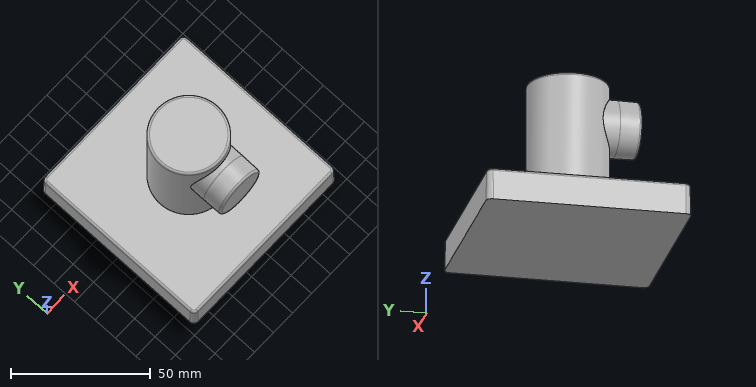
import cadquery as cq
import math

plate_size = 75.0
plate_height = 12.0
plate_top_inset = 0.3
plate_corner_radius = 2.25
plate_edge_radius = 1.0

total_height = 60.0
post_diameter = 30.0
post_edge_radius = 1.0

knob_diameter = 21.0
neck_reach = 17.1
knob_reach = 25.2
knob_height = total_height - post_diameter / 2
cap_end_inset = 0.15
cap_edge_radius = 0.9


def make_plate():
    draft_angle = math.degrees(math.atan(plate_top_inset / plate_height))
    outline = cq.Sketch().rect(plate_size, plate_size).vertices().fillet(plate_corner_radius)
    plate = cq.Workplane("XY").placeSketch(outline).extrude(plate_height, taper=draft_angle)
    return plate.faces(">Z").edges().fillet(plate_edge_radius)


def make_post():
    post = cq.Workplane("XY").circle(post_diameter / 2).extrude(total_height)
    return post.faces(">Z").edges().fillet(post_edge_radius)


def make_knob():
    neck = cq.Workplane("XZ").center(0, knob_height).circle(knob_diameter / 2).extrude(neck_reach)
    cap_length = knob_reach - neck_reach
    draft_angle = math.degrees(math.atan(cap_end_inset / cap_length))
    cap = neck.faces("<Y").workplane().circle(knob_diameter / 2)
    cap = cap.extrude(cap_length, taper=draft_angle, combine=False)
    cap = cap.faces("<Y").edges().fillet(cap_edge_radius)
    return neck.union(cap)


result = make_plate().union(make_post()).union(make_knob())